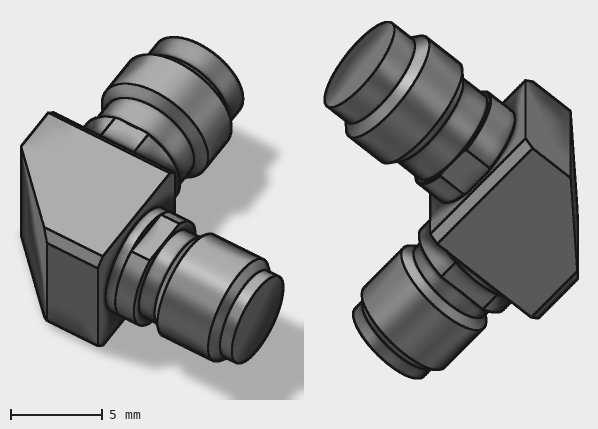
import cadquery as cq

HOUSING_SIZE = 7.92
HALF_HOUSING = HOUSING_SIZE / 2
CORNER_CUT = 4.61
EDGE_CHAMFER = 0.51

BOSS_DIAMETER = 6.34
BOSS_LENGTH = 0.63

X_FLATS_END = 1.85
X_THREAD_START = 2.87
X_THREAD_END = 7.12
X_LENGTH = 7.88
X_NECK_DIAMETER = 5.31
X_THREAD_DIAMETER = 6.24
X_LEAD_LENGTH = 0.48
X_ACROSS_FLATS = 5.56

Y_FLATS_END = 1.88
Y_THREAD_START = 3.64
Y_THREAD_END = 7.17
Y_LENGTH = 8.68
Y_COLLAR_DIAMETER = 6.3
Y_COLLAR_CHAMFER = 0.07
Y_NECK_DIAMETER = 5.81
Y_THREAD_DIAMETER = 6.92
Y_LEAD_LENGTH = (Y_THREAD_DIAMETER - Y_NECK_DIAMETER) / 2
Y_ACROSS_FLATS = 5.93


def make_housing():
    """Block with one corner cut off, chamfered -Y and +Y faces and a boss on +X."""
    block = cq.Workplane("XY").box(HOUSING_SIZE, HOUSING_SIZE, HOUSING_SIZE)
    block = block.edges("|X").chamfer(EDGE_CHAMFER)
    corner = (
        cq.Workplane("XY")
        .workplane(offset=-HALF_HOUSING)
        .moveTo(-HALF_HOUSING, -HALF_HOUSING)
        .lineTo(-HALF_HOUSING + CORNER_CUT, -HALF_HOUSING)
        .lineTo(-HALF_HOUSING, -HALF_HOUSING + CORNER_CUT)
        .close()
        .extrude(HOUSING_SIZE)
    )
    boss = (
        cq.Workplane("YZ")
        .workplane(offset=HALF_HOUSING)
        .circle(BOSS_DIAMETER / 2)
        .extrude(BOSS_LENGTH)
    )
    return block.cut(corner).union(boss)


def make_collar(start, end, diameter, across_flats, rim_chamfer=0):
    """Round collar along Z with two parallel wrench flats facing -Y and +Y."""
    length = end - start
    collar = cq.Workplane("XY").workplane(offset=start).circle(diameter / 2).extrude(length)
    if rim_chamfer > 0:
        collar = collar.edges("%CIRCLE").chamfer(rim_chamfer)
    flats_envelope = (
        cq.Workplane("XY")
        .workplane(offset=start)
        .rect(diameter, across_flats)
        .extrude(length)
    )
    return collar.intersect(flats_envelope)


def make_barrel(start, thread_start, thread_end, length, neck_diameter, thread_diameter, lead_length):
    """Turned barrel along Z whose plain threaded band has a conical lead at each end."""
    neck_radius = neck_diameter / 2
    thread_radius = thread_diameter / 2
    return (
        cq.Workplane("XZ")
        .moveTo(0, start)
        .lineTo(neck_radius, start)
        .lineTo(neck_radius, thread_start)
        .lineTo(thread_radius, thread_start + lead_length)
        .lineTo(thread_radius, thread_end - lead_length)
        .lineTo(neck_radius, thread_end)
        .lineTo(neck_radius, length)
        .lineTo(0, length)
        .close()
        .revolve(360, (0, 0, 0), (0, 1, 0))
    )


def make_x_connector():
    """Connector seated on the boss, pointing along +X with flats on -Z and +Z."""
    collar = make_collar(BOSS_LENGTH, X_FLATS_END, BOSS_DIAMETER, X_ACROSS_FLATS)
    barrel = make_barrel(
        X_FLATS_END, X_THREAD_START, X_THREAD_END, X_LENGTH,
        X_NECK_DIAMETER, X_THREAD_DIAMETER, X_LEAD_LENGTH,
    )
    connector = collar.union(barrel)
    return (
        connector
        .rotate((0, 0, 0), (0, 0, 1), 90)
        .rotate((0, 0, 0), (0, 1, 0), 90)
        .translate((HALF_HOUSING, 0, 0))
    )


def make_y_connector():
    """Connector seated on the +Y housing face, with flats on -Z and +Z."""
    collar = make_collar(0, Y_FLATS_END, Y_COLLAR_DIAMETER, Y_ACROSS_FLATS, Y_COLLAR_CHAMFER)
    barrel = make_barrel(
        Y_FLATS_END, Y_THREAD_START, Y_THREAD_END, Y_LENGTH,
        Y_NECK_DIAMETER, Y_THREAD_DIAMETER, Y_LEAD_LENGTH,
    )
    connector = collar.union(barrel)
    return connector.rotate((0, 0, 0), (1, 0, 0), -90).translate((0, HALF_HOUSING, 0))


housing = make_housing()
x_connector = make_x_connector()
y_connector = make_y_connector()

result = cq.Compound.makeCompound([
    housing.val(),
    x_connector.val(),
    y_connector.val(),
])